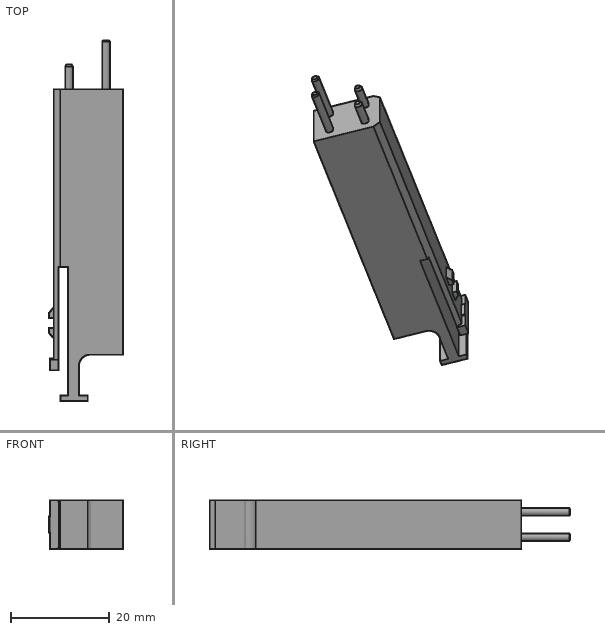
import cadquery as cq

height = 10.0
total_length = 73.5
right_x = 15.15
housing_front_y = 9.4
housing_back_y = 63.5
wall_x = 0.95
edge_bevel_x = 1.4
edge_bevel_z = 0.95

slot_left_x = 2.0
slot_right_x = 3.9
slot_end_y = 27.3

stem_right_x = 6.2
stem_fillet = 2.2
flange_left_x = 2.35
flange_right_x = 7.95
flange_thickness = 1.2

grip_x = 0.2
grip_front_y = 6.25
grip_back_y = 8.45
grip_pad_length = 0.3

catch_height = 3.4
catch_flat = 1.4
catch_slope = 1.5
rear_catch_y = 16.9
front_catch_y = 14.9

pin_radius = 0.8
pin_tip_radius = 0.5
pin_spacing_z = 5.15
short_pin_x = 4.1
short_pin_length = 5.1
short_tip_length = 0.5
long_pin_x = 11.7
long_pin_length = total_length - housing_back_y
long_tip_length = 0.3


def box(x_min, x_max, y_min, y_max, z_size=height):
    """Block between the given X and Y limits, centred on the mid-plane."""
    size_x = x_max - x_min
    size_y = y_max - y_min
    center = ((x_min + x_max) / 2, (y_min + y_max) / 2, 0)
    return cq.Workplane("XY").box(size_x, size_y, z_size).translate(center)


def make_housing():
    """Bevelled housing and flexible wall, with the slot cut between wall and stem."""
    half = height / 2
    bevel_end_x = wall_x + edge_bevel_x
    section = [
        (wall_x, -half + edge_bevel_z),
        (bevel_end_x, -half),
        (right_x, -half),
        (right_x, half),
        (bevel_end_x, half),
        (wall_x, half - edge_bevel_z),
    ]
    bar = (
        cq.Workplane("XZ", origin=(0, grip_front_y, 0))
        .polyline(section)
        .close()
        .extrude(grip_front_y - housing_back_y)
    )
    front_space = box(slot_left_x, right_x, grip_front_y, housing_front_y)
    slot = box(slot_left_x, slot_right_x, grip_front_y, slot_end_y)
    return bar.cut(front_space).cut(slot)


def make_stem():
    """Stem with a filleted shoulder into the housing and a flange at its front end."""
    stem = (
        cq.Workplane("XY", origin=(0, 0, -height / 2))
        .moveTo(slot_right_x, 0)
        .lineTo(stem_right_x, 0)
        .lineTo(stem_right_x, housing_front_y - stem_fillet)
        .radiusArc((stem_right_x + stem_fillet, housing_front_y), stem_fillet)
        .lineTo(stem_right_x + stem_fillet, slot_end_y)
        .lineTo(slot_right_x, slot_end_y)
        .close()
        .extrude(height)
    )
    return stem.union(box(flange_left_x, flange_right_x, 0, flange_thickness))


def make_grip():
    """Full-height grip bar with a short pad behind its middle."""
    bar = box(grip_x, slot_left_x, grip_front_y, grip_back_y)
    pad = box(grip_x, slot_left_x, grip_back_y, grip_back_y + grip_pad_length, catch_height)
    return bar.union(pad)


def make_catch(square_y, direction):
    """Catch with a square face at square_y, sloping down toward direction along Y."""
    flat_end_y = square_y + direction * catch_flat
    slope_end_y = flat_end_y + direction * catch_slope
    profile = [
        (slot_left_x, square_y),
        (0, square_y),
        (0, flat_end_y),
        (wall_x, slope_end_y),
        (slot_left_x, slope_end_y),
    ]
    return (
        cq.Workplane("XY", origin=(0, 0, -catch_height / 2))
        .polyline(profile)
        .close()
        .extrude(catch_height)
    )


def make_pin(x, z, length, tip_length):
    """Round pin with a tapered tip, standing on the back of the housing."""
    return (
        cq.Workplane("XZ", origin=(x, housing_back_y, z))
        .circle(pin_radius)
        .extrude(-length)
        .faces(">Y")
        .chamfer(tip_length, pin_radius - pin_tip_radius)
    )


result = make_housing().union(make_stem()).union(make_grip())
result = result.union(make_catch(rear_catch_y, 0.7))
result = result.union(make_catch(front_catch_y, -0.7))
for pin_z in (-pin_spacing_z / 2, pin_spacing_z / 2):
    result = result.union(make_pin(short_pin_x, pin_z, short_pin_length, short_tip_length))
    result = result.union(make_pin(long_pin_x, pin_z, long_pin_length, long_tip_length))